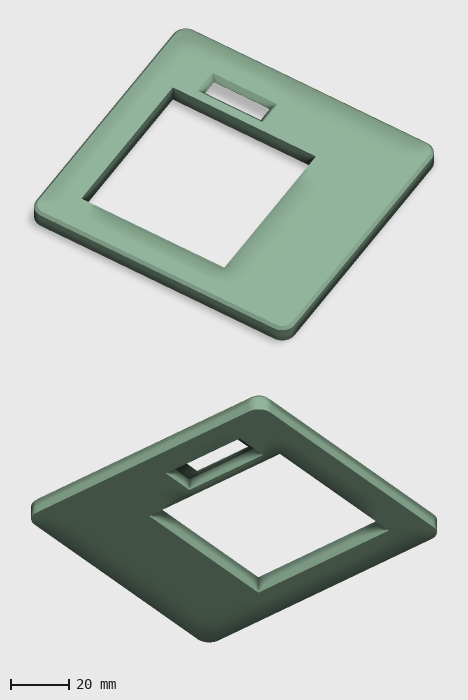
import cadquery as cq

LENGTH = 105.0
WIDTH = 98.5
THICKNESS = 6.5
CORNER_RADIUS = 5.0
EDGE_CHAMFER = 1.0

WINDOW_LENGTH = 58.2
WINDOW_WIDTH = 59.0
WINDOW_CENTER = (-10.3, -6.5)

SLOT_LENGTH = 22.8
SLOT_WIDTH = 6.0
SLOT_BEVEL = 1.8
SLOT_CENTER = (-18.2, 31.0)

SLOT_WALL = 2.0
POCKET_MARGIN = 5.0
POCKET_MARGIN_AT_WINDOW = SLOT_BEVEL


def make_plate():
    """Rounded plate with a chamfer around its top edge."""
    plate = cq.Workplane("XY").rect(LENGTH, WIDTH).extrude(THICKNESS)
    plate = plate.edges("|Z").fillet(CORNER_RADIUS)
    return plate.faces(">Z").edges().chamfer(EDGE_CHAMFER)


def make_opening(length, width, center, depth=THICKNESS):
    """Straight rectangular cutter rising from the underside."""
    return cq.Workplane("XY").center(*center).rect(length, width).extrude(depth)


window = make_opening(WINDOW_LENGTH, WINDOW_WIDTH, WINDOW_CENTER)

slot = make_opening(SLOT_LENGTH, SLOT_WIDTH, SLOT_CENTER)
slot_mouth = (
    cq.Workplane("XY", origin=(*SLOT_CENTER, THICKNESS))
    .rect(SLOT_LENGTH + 2 * SLOT_BEVEL, SLOT_WIDTH + 2 * SLOT_BEVEL)
    .extrude(-SLOT_BEVEL, taper=45)
)

pocket_length = SLOT_LENGTH + 2 * POCKET_MARGIN
pocket_width = SLOT_WIDTH + POCKET_MARGIN + POCKET_MARGIN_AT_WINDOW
pocket_center = (SLOT_CENTER[0], SLOT_CENTER[1] + (POCKET_MARGIN - POCKET_MARGIN_AT_WINDOW) / 2)
pocket = make_opening(pocket_length, pocket_width, pocket_center, THICKNESS - SLOT_WALL)

result = make_plate().cut(window).cut(slot).cut(slot_mouth).cut(pocket)